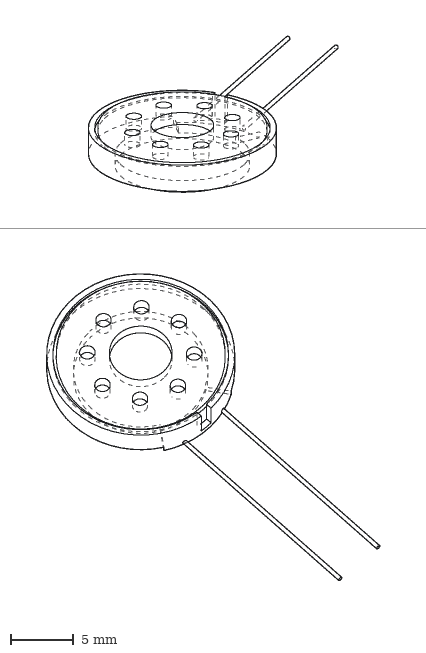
import cadquery as cq
import math

total_height = 3.5
body_bottom = 1.0
rim_top = 3.28
tab_bottom = 0.5

body_diameter = 15.0
boss_diameter = 10.75

lid_diameter = 13.5
lid_edge_radius = 0.13
groove_diameter = 14.0
groove_depth = 0.32

opening_depth = 1.05
centre_opening_diameter = 5.0
port_diameter = 1.25
port_count = 8
port_circle_radius = 4.25

tab_inner_width = 5.0
tab_outer_width = 7.5
tab_overshoot = 0.32

notch_width = 1.07

wire_diameter = 0.35
wire_spacing = 4.22
wire_start_y = boss_diameter / 2
wire_height = 0.78
part_length = 32.5
wire_end_y = part_length - body_diameter / 2


def cylinder(diameter, bottom, top):
    """Upright cylinder on the part axis."""
    return cq.Workplane("XY").workplane(offset=bottom).circle(diameter / 2).extrude(top - bottom)


def make_body():
    boss = cylinder(boss_diameter, 0, body_bottom)
    rim = cylinder(body_diameter, body_bottom, rim_top)
    return boss.union(rim)


def make_tab():
    """Tapered block from the boss outwards, trimmed by the outer cylinder of the body."""
    inner_y = math.sqrt((boss_diameter / 2) ** 2 - (tab_inner_width / 2) ** 2)
    outer_y = math.sqrt((body_diameter / 2) ** 2 - (tab_outer_width / 2) ** 2)
    side_slope = (tab_outer_width - tab_inner_width) / 2 / (outer_y - inner_y)
    end_y = body_diameter / 2 + tab_overshoot
    end_half_width = tab_outer_width / 2 + side_slope * (end_y - outer_y)
    block = (
        cq.Workplane("XY")
        .workplane(offset=tab_bottom)
        .moveTo(-tab_inner_width / 2, inner_y)
        .lineTo(-end_half_width, end_y)
        .lineTo(end_half_width, end_y)
        .lineTo(tab_inner_width / 2, inner_y)
        .close()
        .extrude(body_bottom - tab_bottom)
    )
    return block.intersect(cylinder(body_diameter, tab_bottom, body_bottom))


def make_notch():
    """Cutter that opens the rim from the groove outwards, down to the tab."""
    lid_radius = lid_diameter / 2
    notch_length = body_diameter / 2 - lid_radius
    block = (
        cq.Workplane("XY")
        .box(notch_width, 2 * notch_length, rim_top - body_bottom, centered=(True, False, False))
        .translate((0, lid_radius - notch_length, body_bottom))
    )
    return block.cut(cylinder(groove_diameter, body_bottom, rim_top))


def make_lid():
    """Lid that stands on the groove floor and rises above the rim."""
    lid = cylinder(lid_diameter, rim_top - groove_depth, total_height)
    return lid.faces(">Z").edges().fillet(lid_edge_radius)


def make_openings():
    """Blind centre opening and the ring of ports around it."""
    floor = total_height - opening_depth
    ports = (
        cq.Workplane("XY")
        .workplane(offset=floor)
        .polarArray(port_circle_radius, 0, 360, port_count)
        .circle(port_diameter / 2)
        .extrude(opening_depth)
    )
    return ports.union(cylinder(centre_opening_diameter, floor, total_height))


def make_wires():
    """Pair of straight leads that start inside the tab and run along +Y."""
    return (
        cq.Workplane("XZ", origin=(0, wire_start_y, wire_height))
        .pushPoints([(-wire_spacing / 2, 0), (wire_spacing / 2, 0)])
        .circle(wire_diameter / 2)
        .extrude(wire_start_y - wire_end_y)
    )


groove = cylinder(groove_diameter, rim_top - groove_depth, rim_top)

result = (
    make_body()
    .union(make_tab())
    .cut(make_notch())
    .cut(groove)
    .union(make_lid())
    .cut(make_openings())
    .union(make_wires())
)